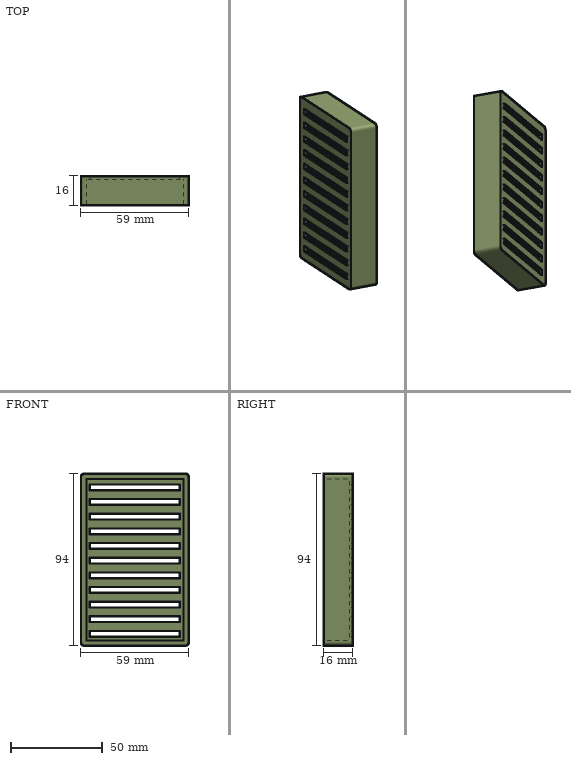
import cadquery as cq

width = 59.0
depth = 16.0
height = 94.0
corner_radius = 2.0
wall = 3.0
floor_thickness = 2.0

slot_count = 11
slot_height = 3.0
slot_pitch = 8.0
slot_side_margin = 2.0
slot_top_margin = 3.0

inner_width = width - 2 * wall
inner_height = height - 2 * wall
cavity_depth = depth - floor_thickness
slot_width = inner_width - 2 * slot_side_margin
top_slot_z = inner_height / 2 - slot_top_margin - slot_height / 2


def make_body():
    """Solid block centred on the origin, rounded on its four Y-parallel edges."""
    return cq.Workplane("XY").box(width, depth, height).edges("|Y").fillet(corner_radius)


def make_cavity():
    """Sharp-cornered pocket running from the open -Y face to the floor."""
    pocket_centre_y = (cavity_depth - depth) / 2
    pocket = cq.Workplane("XY").box(inner_width, cavity_depth, inner_height)
    return pocket.translate((0, pocket_centre_y, 0))


def make_slots():
    """Column of evenly spaced horizontal slots, listed from the top down."""
    floor_centre_y = (depth - floor_thickness) / 2
    centres = [(0, floor_centre_y, top_slot_z - i * slot_pitch) for i in range(slot_count)]
    slots = cq.Workplane("XY").pushPoints(centres)
    return slots.box(slot_width, floor_thickness, slot_height)


result = make_body().cut(make_cavity()).cut(make_slots())